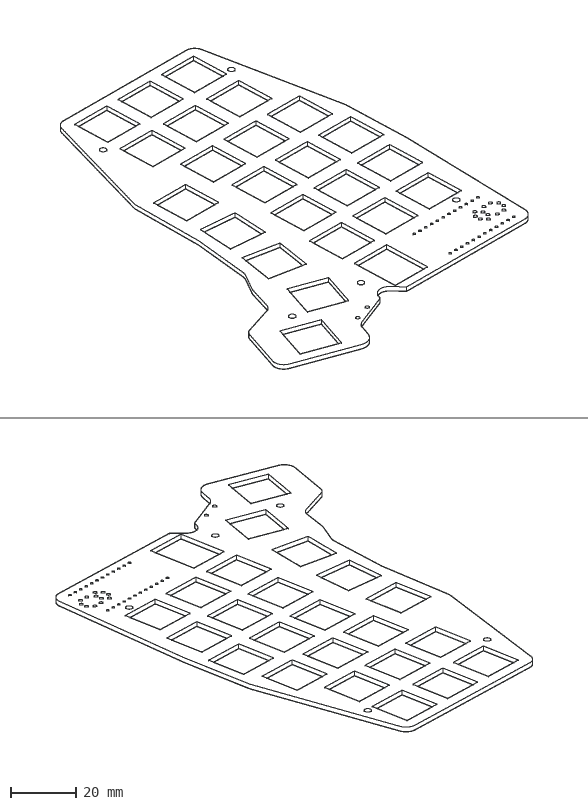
import cadquery as cq
import math

thickness = 1.7

key_size = 14.1
key_pitch = 19.0
column_pitch = 19.2
first_column_x = 10.9
first_row_y = 96.7
column_rises = [0, 0, 6.8, 9.5, 6.8, 4.0]
row_count = 3
thumb_keys = [
    (58.3, 44.4, 0),
    (79.3, 43.1, -5),
    (99.9, 40.1, -11),
    (122.5, 36.0, -20),
    (137.0, 17.9, -20),
]

window_length = 17.4
window_width = 14.2
window_centre = (127.2, 63.3)

screw_diameter = 2.3
screw_centres = [(17.3, 106.5), (116.5, 103.0), (19.8, 47.5), (127.3, 50.0), (125.0, 22.1)]

pin_diameter = 0.82
pins_per_row = 12
header_length = 28.0
header_first_y = 80.5
header_row_xs = [120.3, 135.6]

contact_diameter = 1.2
jack_axis_x = 128.0
contact_places = [(1.0, 110.8), (2.9, 109.0), (2.9, 106.1), (1.0, 103.8), (2.9, 102.2), (1.0, 100.5)]

button_diameter = 1.3
button_centres = [(138.0, 41.6), (140.0, 35.4)]

outline_corners = [
    (0, 107.6, 3.6),
    (55.7, 117.0, 0),
    (81.7, 117.0, 0),
    (139.0, 113.5, 4.0),
    (139.0, 58.0, 0),
    (130.6, 50.5, 3.6),
    (137.5, 48.0, 1.0),
    (143.0, 33.3, 3.6),
    (152.6, 29.7, 4.4),
    (141.4, -1.0, 3.8),
    (121.4, 6.2, 2.7),
    (116.9, 20.5, 3.6),
    (106.1, 24.0, 9.1),
    (98.4, 28.8, 4.5),
    (75.7, 32.0, 0),
    (47.7, 32.7, 0),
    (0, 48.0, 3.6),
]


def toward(start, end, distance):
    """Point at the given distance from start on the line to end."""
    share = distance / math.dist(start, end)
    return (start[0] + share * (end[0] - start[0]), start[1] + share * (end[1] - start[1]))


def rounded_corner(before, corner, after, radius):
    """Start, middle and end of the tangent arc that rounds a corner."""
    angle_in = math.atan2(before[1] - corner[1], before[0] - corner[0])
    angle_out = math.atan2(after[1] - corner[1], after[0] - corner[0])
    half_angle = math.acos(math.cos(angle_in - angle_out)) / 2
    tangent_length = radius / math.tan(half_angle)
    start = toward(corner, before, tangent_length)
    end = toward(corner, after, tangent_length)
    chord_middle = ((start[0] + end[0]) / 2, (start[1] + end[1]) / 2)
    middle = toward(corner, chord_middle, radius / math.sin(half_angle) - radius)
    return start, middle, end


def make_plate():
    points = [(x, y) for x, y, _ in outline_corners]
    outline = None
    for i, (x, y, radius) in enumerate(outline_corners):
        after = points[(i + 1) % len(points)]
        if radius > 0:
            start, middle, end = rounded_corner(points[i - 1], (x, y), after, radius)
        else:
            start = (x, y)
        outline = outline.lineTo(*start) if outline else cq.Workplane("XY").moveTo(*start)
        if radius > 0:
            outline = outline.threePointArc(middle, end)
    return outline.close().extrude(thickness)


def rectangle_cutter(centre, length, width, rotation=0):
    cutter = cq.Workplane("XY").rect(length, width).extrude(thickness)
    return cutter.rotate((0, 0, 0), (0, 0, 1), rotation).translate((*centre, 0))


def drill(body, centres, diameter):
    cutters = cq.Workplane("XY").pushPoints(centres).circle(diameter / 2).extrude(thickness)
    return body.cut(cutters)


plate = make_plate()

for column, rise in enumerate(column_rises):
    for row in range(row_count):
        key_centre = (first_column_x + column * column_pitch, first_row_y + rise - row * key_pitch)
        plate = plate.cut(rectangle_cutter(key_centre, key_size, key_size))

for x, y, rotation in thumb_keys:
    plate = plate.cut(rectangle_cutter((x, y), key_size, key_size, rotation))

plate = plate.cut(rectangle_cutter(window_centre, window_length, window_width))

plate = drill(plate, screw_centres, screw_diameter)

pin_pitch = header_length / (pins_per_row - 1)
pin_centres = [(x, header_first_y + i * pin_pitch) for x in header_row_xs for i in range(pins_per_row)]
plate = drill(plate, pin_centres, pin_diameter)

contact_centres = [(jack_axis_x + side * offset, y) for offset, y in contact_places for side in (-1, 1)]
plate = drill(plate, contact_centres, contact_diameter)

plate = drill(plate, button_centres, button_diameter)

result = plate